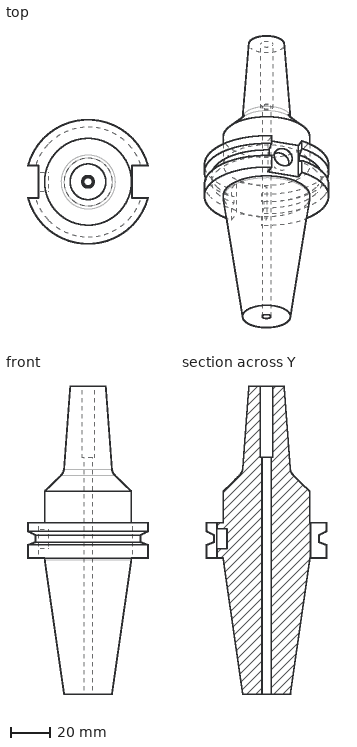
import cadquery as cq

total_height = 157.2
taper_length = 68.5
shank_tip_radius = 12.3
body_radius = 22.2

flange_radius = 31.7
flange_bottom = 69.5
flange_top = 87.5
groove_root_radius = 28.1
groove_lower_edge = 76.2
groove_root_bottom = 77.6
groove_root_top = 81.2
groove_upper_edge = 83.1

body_top = 103.5
nose_base_height = 113.0
nose_base_radius = 12.4
nose_tip_radius = 9.1
nose_fillet = 5.0

slot_width = 16.5
left_slot_floor = 25.3
right_slot_floor = 22.5

side_hole_radius = 4.9
side_hole_height = 79.4
side_hole_depth = 5.0

tool_bore_radius = 3.1
tool_bore_depth = 36.1
through_bore_radius = 2.2


def turned_body():
    """Revolve the half profile about Z and round the foot of the nose."""
    profile = [
        (0, 0),
        (shank_tip_radius, 0),
        (body_radius, taper_length),
        (body_radius, flange_bottom),
        (flange_radius, flange_bottom),
        (flange_radius, groove_lower_edge),
        (groove_root_radius, groove_root_bottom),
        (groove_root_radius, groove_root_top),
        (flange_radius, groove_upper_edge),
        (flange_radius, flange_top),
        (body_radius, flange_top),
        (body_radius, body_top),
        (nose_base_radius, nose_base_height),
        (nose_tip_radius, total_height),
        (0, total_height),
    ]
    body = cq.Workplane("XZ").polyline(profile).close().revolve(360, (0, 0), (0, 1))
    nose_foot = cq.selectors.BoxSelector(
        (-flange_radius, -flange_radius, nose_base_height - 0.2),
        (flange_radius, flange_radius, nose_base_height + 0.2),
    )
    return body.edges("%CIRCLE").edges(nose_foot).fillet(nose_fillet)


def drive_slot(side, floor_distance):
    """Cutter for one slot; side is -1 for -X and +1 for +X."""
    slot_length = flange_radius
    return (
        cq.Workplane("XY", origin=(0, 0, flange_bottom))
        .center(side * (floor_distance + slot_length / 2), 0)
        .rect(slot_length, slot_width)
        .extrude(flange_top - flange_bottom)
    )


def side_hole():
    """Cutter running inward along +X from the left slot floor."""
    return (
        cq.Workplane("YZ", origin=(-left_slot_floor, 0, side_hole_height))
        .circle(side_hole_radius)
        .extrude(side_hole_depth)
    )


def axial_bore():
    """Cutter for the narrow through bore and the wider bore at the nose."""
    through_bore = cq.Workplane("XY").circle(through_bore_radius).extrude(total_height)
    tool_bore = (
        cq.Workplane("XY", origin=(0, 0, total_height - tool_bore_depth))
        .circle(tool_bore_radius)
        .extrude(tool_bore_depth)
    )
    return through_bore.union(tool_bore)


result = (
    turned_body()
    .cut(drive_slot(-1, left_slot_floor))
    .cut(drive_slot(1, right_slot_floor))
    .cut(side_hole())
    .cut(axial_bore())
)